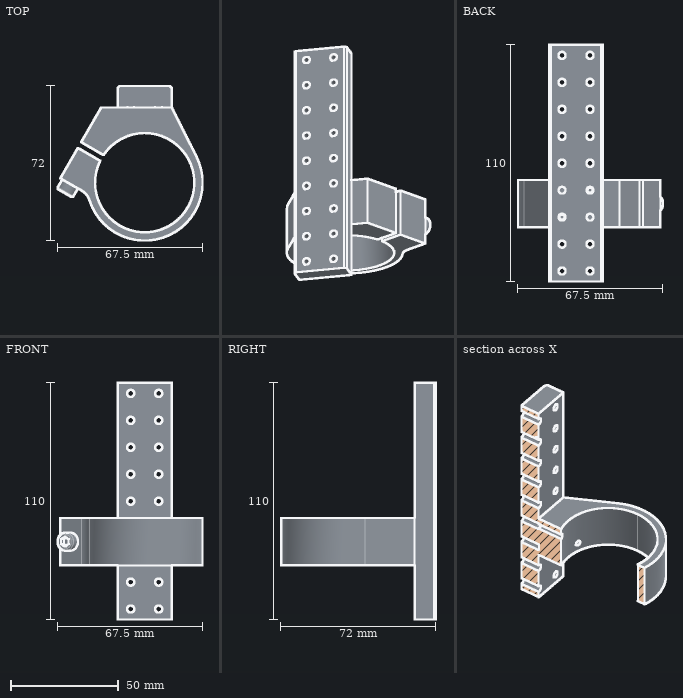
import cadquery as cq
import math

plate_width = 25.2
plate_thickness = 10.0
plate_height = 110.0
plate_edge_chamfer = 1.0

plate_hole_diameter = 3.2
hole_rows = 9
hole_end_margin = 5.0
hole_pitch = (plate_height - 2 * hole_end_margin) / (hole_rows - 1)
column_offset = 6.5

bore_radius = 23.0
ring_radius = 27.0
clamp_height = 22.0
row_below_clamp_center = 2
row_above_clamp_center = row_below_clamp_center + 1
clamp_center_z = hole_end_margin + hole_pitch * (row_below_clamp_center + row_above_clamp_center) / 2
clamp_bottom_z = clamp_center_z - clamp_height / 2
mounting_hole_diameter = 2.4

flat_distance = 35.0
lug_angle = math.radians(150)
slot_width = 3.0
lug_end = 17.8
lug_fillet = 8.0

screw_distance = 29.7
head_diameter = 8.5
head_height = 5.0
head_rounding = 0.8
socket_across_flats = 4.0
socket_depth = 2.5


def lug_point(outward, along):
    """XY point at a distance outward from the bore axis and along the lug face, away from the plate."""
    return (
        outward * math.cos(lug_angle) - along * math.sin(lug_angle),
        outward * math.sin(lug_angle) + along * math.cos(lug_angle),
    )


def row_z(row):
    return hole_end_margin + row * hole_pitch


def hole_along_y(x, z, diameter, start_y, length):
    start = cq.Vector(x, start_y, z)
    return cq.Workplane(cq.Solid.makeCylinder(diameter / 2, length, start, cq.Vector(0, 1, 0)))


def make_plate():
    plate = (
        cq.Workplane("XY")
        .box(plate_width, plate_thickness, plate_height, centered=(True, False, False))
        .translate((0, flat_distance, 0))
        .edges("|Z and >Y")
        .chamfer(plate_edge_chamfer)
    )
    for row in range(hole_rows):
        for x in (-column_offset, column_offset):
            plate = plate.cut(hole_along_y(x, row_z(row), plate_hole_diameter, flat_distance, plate_thickness))
    return plate


def make_clamp():
    plate_corner = (plate_width / 2, flat_distance)
    corner_angle = math.atan2(plate_corner[1], plate_corner[0])
    tangent_angle = corner_angle - math.acos(ring_radius / math.hypot(*plate_corner))
    tangent_point = (ring_radius * math.cos(tangent_angle), ring_radius * math.sin(tangent_angle))

    face_corner = (-flat_distance * math.tan((lug_angle - math.pi / 2) / 2), flat_distance)
    lug_root = lug_point(math.sqrt(ring_radius**2 - lug_end**2), lug_end)

    body = (
        cq.Workplane("XY")
        .polyline([
            plate_corner,
            face_corner,
            lug_point(flat_distance, lug_end),
            lug_root,
            (0, 0),
            tangent_point,
        ])
        .close()
        .extrude(clamp_height)
    )
    ring = cq.Workplane("XY").circle(ring_radius).extrude(clamp_height)
    root_edge = cq.selectors.NearestToPointSelector((*lug_root, clamp_height / 2))
    clamp = body.union(ring).edges("|Z").edges(root_edge).fillet(lug_fillet)

    bore = cq.Workplane("XY").circle(bore_radius).extrude(clamp_height)
    slot = (
        cq.Workplane("XY")
        .polyline([
            lug_point(0, -slot_width / 2),
            lug_point(flat_distance, -slot_width / 2),
            lug_point(flat_distance, slot_width / 2),
            lug_point(0, slot_width / 2),
        ])
        .close()
        .extrude(clamp_height)
    )
    clamp = clamp.cut(bore).cut(slot).translate((0, 0, clamp_bottom_z))

    for x, row in ((-column_offset, row_above_clamp_center), (column_offset, row_below_clamp_center)):
        clamp = clamp.cut(hole_along_y(x, row_z(row), mounting_hole_diameter, 0, flat_distance))
    return clamp


def make_screw_head():
    seat = lug_point(screw_distance, lug_end)
    direction = lug_point(0, 1)
    seat_plane = cq.Plane(
        origin=(*seat, clamp_center_z),
        xDir=(0, 0, 1),
        normal=(*direction, 0),
    )
    socket_across_corners = socket_across_flats / math.cos(math.pi / 6)
    head = (
        cq.Workplane(seat_plane)
        .circle(head_diameter / 2)
        .extrude(head_height)
        .faces(cq.selectors.DirectionMinMaxSelector(cq.Vector(*direction, 0)))
        .edges()
        .fillet(head_rounding)
    )
    socket = (
        cq.Workplane(seat_plane)
        .workplane(offset=head_height - socket_depth)
        .polygon(6, socket_across_corners)
        .extrude(socket_depth)
    )
    return head.cut(socket)


result = make_plate().union(make_clamp()).union(make_screw_head())